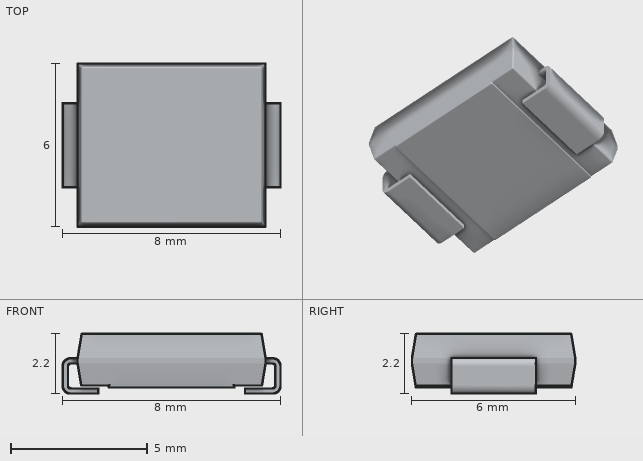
import cadquery as cq

overall_length = 8.0
overall_height = 2.2

body_length = 6.9
body_width = 6.0
band_bottom = 1.1
band_top = 1.3
body_bottom = 0.22
draft_angle = 9.5
edge_radius = 0.05

pad_length = 4.62
step_depth = 0.07
pad_edge_radius = 0.03

lead_width = 3.1
lead_thickness = 0.2
lead_top = band_top
inner_bend_radius = 0.1
outer_bend_radius = inner_bend_radius + lead_thickness
foot_length = 1.31
lead_embed = 0.24

selection_margin = 0.01


def drafted_block(start_z, height):
    """Block tapering away from the parting band; a negative height grows downwards."""
    return (
        cq.Workplane("XY", origin=(0, 0, start_z))
        .rect(body_length, body_width)
        .extrude(height, taper=draft_angle)
    )


def make_body():
    """Moulded body with a straight band, drafted faces, end steps and rounded edges."""
    band_height = band_top - band_bottom
    band = (
        cq.Workplane("XY", origin=(0, 0, band_bottom))
        .rect(body_length, body_width)
        .extrude(band_height)
    )
    upper = drafted_block(band_top, overall_height - band_top)
    lower = drafted_block(band_bottom, body_bottom - band_bottom)
    body = band.union(upper).union(lower)

    step_length = (body_length - pad_length) / 2
    step_center = (pad_length + step_length) / 2
    steps = (
        cq.Workplane("XY", origin=(0, 0, body_bottom))
        .pushPoints([(-step_center, 0), (step_center, 0)])
        .rect(step_length, body_width)
        .extrude(step_depth)
    )
    body = body.cut(steps)

    corners = body.edges("not(|X or |Y)")
    top_rim = body.faces(">Z").edges()
    inner_corners = cq.selectors.BoxSelector(
        (-pad_length / 2 - selection_margin, -body_width, body_bottom),
        (pad_length / 2 + selection_margin, body_width, band_bottom),
    )
    straight_edges = cq.selectors.StringSyntaxSelector("|X or |Y")
    step_rims = body.faces("|Z").faces(">Z[-2]").edges(straight_edges - inner_corners)
    body = corners.add(top_rim).add(step_rims).fillet(edge_radius)
    return body.faces("<Z").edges().fillet(pad_edge_radius)


def make_lead(side):
    """C-shaped lead on the -X (side = -1) or +X (side = 1) end of the body."""
    outer_x = side * overall_length / 2
    inner_x = side * (overall_length / 2 - lead_thickness)
    foot_x = side * (overall_length / 2 - foot_length)
    root_x = side * (body_length / 2 - lead_embed)
    profile = (
        cq.Workplane("XZ", origin=(0, lead_width / 2, 0))
        .moveTo(root_x, lead_top)
        .lineTo(outer_x, lead_top)
        .lineTo(outer_x, 0)
        .lineTo(foot_x, 0)
        .lineTo(foot_x, lead_thickness)
        .lineTo(inner_x, lead_thickness)
        .lineTo(inner_x, lead_top - lead_thickness)
        .lineTo(root_x, lead_top - lead_thickness)
        .close()
    )
    outer_face = "<X" if side < 0 else ">X"
    lead = profile.extrude(lead_width)
    lead = lead.faces(outer_face).edges("|Y").fillet(outer_bend_radius)
    inner_corners = cq.selectors.BoxSelector(
        (inner_x - selection_margin, -lead_width, 0),
        (inner_x + selection_margin, lead_width, lead_top),
    )
    return lead.edges("|Y").edges(inner_corners).fillet(inner_bend_radius)


result = make_body().union(make_lead(-1)).union(make_lead(1))